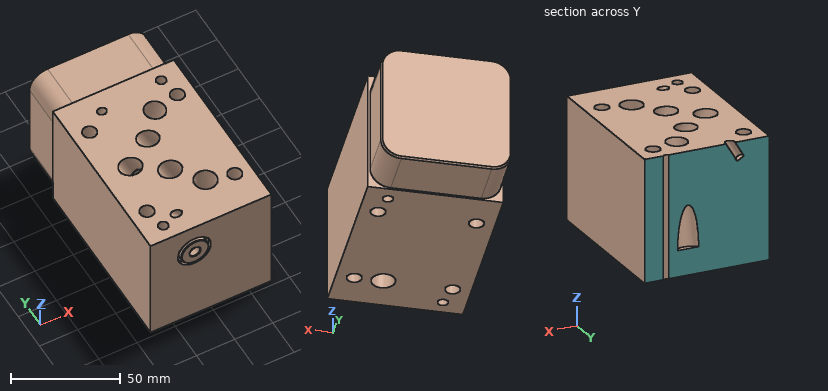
import cadquery as cq
import math

block_width = 63.5
block_length = 91.9
block_height = 61.93

overall_length = 117.32
plug_projection = 0.65

head_length = overall_length - plug_projection - block_length
head_width = 61.3
head_height = 60.3
head_corner_radius = 9.5
head_edge_chamfer = 0.8

middle_y = block_length / 2
bolt_spacing_x = 46.0
bolt_spacing_y = 54.0
bolt_hole_diameter = 7.0
pin_x = 20.7
pin_offset_y = 38.1
pin_hole_diameter = 4.9

return_port_x = 9.5
work_port_x = -1.6
pressure_port_x = -16.7
pilot_port_x = -12.0
rear_port_y = 69.85
rear_work_port_y = 56.6
front_work_port_y = 35.6
front_port_y = 22.3
rear_pilot_y = 81.1
front_pilot_y = 11.2

through_depth = 2 * block_height
slanted_drillings = [
    (return_port_x, rear_port_y, 10.4, 14.0, 90.0, 50.0),
    (work_port_x, rear_work_port_y, 9.7, 27.0, -16.0, 34.0),
    (pressure_port_x, middle_y, 10.5, 23.5, 0.0, 20.0),
    (work_port_x, front_work_port_y, 10.5, 23.5, 0.0, 34.0),
    (return_port_x, front_port_y, 11.2, 2.8, -90.0, through_depth),
    (pilot_port_x, rear_pilot_y, 4.1, 31.0, 180.0, 10.0),
    (pilot_port_x, front_pilot_y, 4.1, 43.0, 0.0, 10.0),
]
drill_lead_in = 10.0

plug_x = -8.7
plug_z = 45.1
plug_diameter = 14.4
plug_edge_chamfer = 0.3
plug_seat_depth = 8.0
recess_diameter = 17.3
recess_depth = 2.0
plug_bore_diameter = 10.8
plug_bore_depth = middle_y + plug_bore_diameter / 2
socket_diameter = 5.4
socket_depth = 4.0
socket_edge_chamfer = 0.25
socket_cone_depth = 1.5


def slanted_drilling(x, y, diameter, tilt, heading, depth):
    """Cylinder whose axis crosses the top face at (x, y) and slopes down along the heading."""
    tilt_angle = math.radians(tilt)
    heading_angle = math.radians(heading)
    axis = cq.Vector(
        math.sin(tilt_angle) * math.cos(heading_angle),
        math.sin(tilt_angle) * math.sin(heading_angle),
        -math.cos(tilt_angle),
    )
    start = cq.Vector(x, y, block_height) - axis * drill_lead_in
    return cq.Solid.makeCylinder(diameter / 2, depth + drill_lead_in, start, axis)


def plug_cutter(diameter, depth):
    """Cylinder on the plug axis, running from the front face into the block."""
    front_plane = cq.Plane(origin=(plug_x, 0, plug_z), xDir=(1, 0, 0), normal=(0, 1, 0))
    return cq.Workplane(front_plane).circle(diameter / 2).extrude(depth)


def make_head():
    head = (
        cq.Workplane("XY")
        .box(head_width, head_length, head_height)
        .translate((0, block_length + head_length / 2, block_height / 2))
    )
    return head.edges("|Y").fillet(head_corner_radius).faces(">Y").edges().chamfer(head_edge_chamfer)


def make_housing():
    block = cq.Workplane("XY").box(block_width, block_length, block_height)
    housing = block.translate((0, middle_y, block_height / 2)).union(make_head())

    top_face = cq.Workplane("XY", origin=(0, middle_y, block_height))
    bolt_holes = (
        top_face.rarray(bolt_spacing_x, bolt_spacing_y, 2, 2)
        .circle(bolt_hole_diameter / 2)
        .extrude(-block_height)
    )
    pin_holes = (
        top_face.pushPoints([(pin_x, pin_offset_y), (-pin_x, -pin_offset_y)])
        .circle(pin_hole_diameter / 2)
        .extrude(-block_height)
    )
    housing = housing.cut(bolt_holes).cut(pin_holes)

    for drilling in slanted_drillings:
        housing = housing.cut(cq.Workplane(slanted_drilling(*drilling)))

    plug_recess = plug_cutter(recess_diameter, recess_depth)
    plug_seat = plug_cutter(plug_diameter, plug_seat_depth)
    plug_bore = plug_cutter(plug_bore_diameter, plug_bore_depth)
    return housing.cut(plug_recess).cut(plug_seat).cut(plug_bore)


def make_plug():
    """Turned plug: half section in radius and distance along the axis from the outer face."""
    radius = plug_diameter / 2
    socket_radius = socket_diameter / 2
    length = plug_projection + plug_seat_depth
    half_section = [
        (0, socket_depth + socket_cone_depth),
        (socket_radius, socket_depth),
        (socket_radius, socket_edge_chamfer),
        (socket_radius + socket_edge_chamfer, 0),
        (radius - plug_edge_chamfer, 0),
        (radius, plug_edge_chamfer),
        (radius, length),
        (0, length),
    ]
    section_plane = cq.Plane(
        origin=(plug_x, -plug_projection, plug_z), xDir=(1, 0, 0), normal=(0, 0, 1)
    )
    return cq.Workplane(section_plane).polyline(half_section).close().revolve(360, (0, 0), (0, 1))


housing = make_housing()
plug = make_plug()

result = cq.Compound.makeCompound([housing.val(), plug.val()])